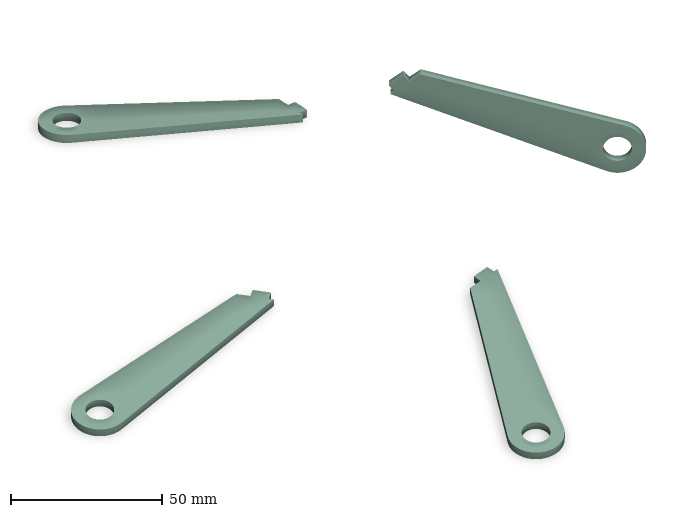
import cadquery as cq
import math

thickness = 3.05
pivot_radius = 9.5
hole_diameter = 9.5
tip_y = 66.7
tab_height = 3.05
tab_width = 6.25
tab_left_x = 37.5
shoulder_left_x = 32.7
shoulder_right_x = 45.4

shoulder_y = tip_y - tab_height
tab_right_x = tab_left_x + tab_width


def tangent_point(x, y, side):
    """Point where a line from (x, y) touches the pivot circle; side is +1 (left) or -1 (right)."""
    angle = math.atan2(y, x) + side * math.acos(pivot_radius / math.hypot(x, y))
    return (pivot_radius * math.cos(angle), pivot_radius * math.sin(angle))


left_tangent = tangent_point(shoulder_left_x, shoulder_y, 1)
right_tangent = tangent_point(shoulder_right_x, shoulder_y, -1)

shoulder_middle_x = (shoulder_left_x + shoulder_right_x) / 2
arm_angle = math.atan2(shoulder_y, shoulder_middle_x)
arc_middle = (-pivot_radius * math.cos(arm_angle), -pivot_radius * math.sin(arm_angle))

arm = (
    cq.Workplane("XY")
    .moveTo(*left_tangent)
    .lineTo(shoulder_left_x, shoulder_y)
    .lineTo(tab_left_x, shoulder_y)
    .lineTo(tab_left_x, tip_y)
    .lineTo(tab_right_x, tip_y)
    .lineTo(tab_right_x, shoulder_y)
    .lineTo(shoulder_right_x, shoulder_y)
    .lineTo(*right_tangent)
    .threePointArc(arc_middle, left_tangent)
    .close()
    .extrude(thickness)
)

pivot_hole = cq.Workplane("XY").circle(hole_diameter / 2).extrude(thickness)

result = arm.cut(pivot_hole)